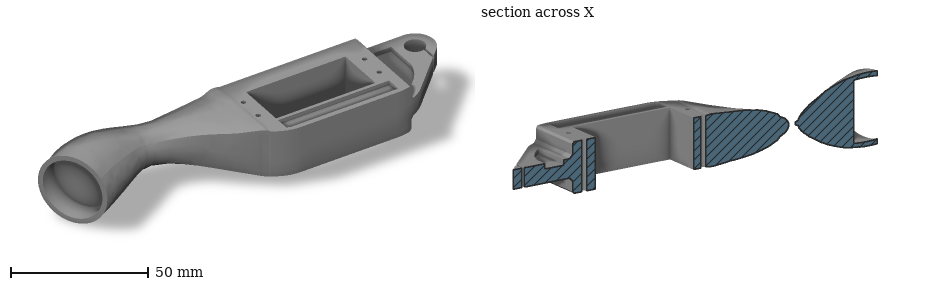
import cadquery as cq
import math


body_width = 38.0
body_height = 19.8
body_end_y = 59.6
joint_width = 34.3
corner_radius = 18.5
body_edge_bevel = 0.8
tab_height = 7.5
tab_bevel = 1.2

eye_x = 8.0
eye_y = 79.5
eye_diameter = 8.2
slit_bottom_y = 80.8
slit_width = 1.0

window_left = 8.0
window_right = 28.4
window_bottom = 6.4
window_top = 49.4

screw_diameter = 2.0
screw_columns = (13.1, 23.2)
screw_rows = (2.0, 54.5)

pocket_depth = 2.0
side_pocket_left = 29.7
side_pocket_right = 36.0
side_pocket_top = 54.5
side_pocket_corner = 0.7
tab_pocket_left = 4.0
tab_pocket_right = 29.4
tab_pocket_flat_end = 17.8
tab_pocket_bottom = 63.5
tab_pocket_top = 71.7
tab_pocket_bow = (24.2, 68.9)

mouth_diameter = 28.5
mouth_tilt = math.radians(30)
mouth_center = (15.3, -73.2)
mouth_bore_diameter = 24.5
mouth_bore_depth = 8.9
mouth_corner_angle = math.radians(37)

neck_sections = (
    ((0.0, -6.7), (29.5, -6.7), 9.7, 9.0, 0.99),
    ((-0.3, -13.5), (24.9, -13.5), 9.2, 7.9, 0.95),
    ((-1.2, -23.5), (17.6, -23.5), 8.4, 6.2, 0.9),
    ((-3.4, -35.3), (13.0, -36.1), 7.9, 4.7, 0.8),
    ((-5.7, -47.0), (14.5, -42.8), 9.7, 5.9, 0.8),
    ((-6.2, -56.3), (18.5, -49.7), 12.1, 7.0, 0.8),
    ((-4.4, -65.8), (22.3, -56.5), 13.6, 8.0, 0.8),
    ((-0.8, -73.7), (25.4, -61.8), 14.1, 8.4, 0.8),
)


def plan_outline():
    """Outline of body and tab: a straight left side, the eye end and a rounded right side."""
    half = math.sqrt(0.5)
    arc_center_x = body_width - corner_radius
    eye_tangent = (eye_x + eye_x * half, eye_y + eye_x * half)
    slope_sum = sum(eye_tangent)
    corner_x = arc_center_x + corner_radius * half
    corner_y = slope_sum - corner_x
    upper_center_y = corner_y - corner_radius * half

    def upper_arc(degrees):
        angle = math.radians(degrees)
        return (arc_center_x + corner_radius * math.cos(angle),
                upper_center_y + corner_radius * math.sin(angle))

    joint_angle = math.acos((joint_width - arc_center_x) / corner_radius)
    lower_center_y = corner_radius * math.sin(joint_angle)
    lower_middle = (arc_center_x + corner_radius * math.cos(joint_angle / 2),
                    lower_center_y - corner_radius * math.sin(joint_angle / 2))
    return (
        cq.Workplane("XY")
        .moveTo(0, 0)
        .lineTo(0, eye_y)
        .threePointArc((eye_x - eye_x * math.sin(math.radians(22.5)),
                        eye_y + eye_x * math.cos(math.radians(22.5))), eye_tangent)
        .lineTo(*upper_arc(45))
        .threePointArc(upper_arc(22.5), upper_arc(0))
        .lineTo(body_width, lower_center_y)
        .threePointArc(lower_middle, (joint_width, 0))
        .close()
    )


def box_between(x_range, y_range, z_range):
    size = [high - low for low, high in (x_range, y_range, z_range)]
    return cq.Workplane("XY").box(*size, centered=False).translate((x_range[0], y_range[0], z_range[0]))


def body_and_tab():
    """Cut the side profile of thick body and thin tab out of the extruded plan outline."""
    plate = plan_outline().extrude(body_height / 2, both=True)
    half_body = body_height / 2
    half_tab = tab_height / 2
    upper_side = [
        (body_end_y - body_edge_bevel, half_body),
        (body_end_y, half_body - body_edge_bevel),
        (body_end_y, half_tab + tab_bevel),
        (body_end_y + tab_bevel, half_tab),
        (eye_y + body_width, half_tab),
    ]
    lower_side = [(y, -z) for y, z in reversed(upper_side)]
    profile = [(0, half_body)] + upper_side + lower_side + [(0, -half_body)]
    return plate.intersect(cq.Workplane("YZ").polyline(profile).close().extrude(body_width))


def neck_section(left, right, half_height, corner_height, spread):
    """Oval wire of four arcs standing on the plan line from left to right."""

    def point(across, z):
        share = (1 + across) / 2
        return cq.Vector(left[0] + share * (right[0] - left[0]),
                         left[1] + share * (right[1] - left[1]), z)

    corners = [point(-spread, -corner_height), point(spread, -corner_height),
               point(spread, corner_height), point(-spread, corner_height)]
    middles = [point(0, -half_height), point(1, 0), point(0, half_height), point(-1, 0)]
    edges = [
        cq.Edge.makeThreePointArc(corners[i], middles[i], corners[(i + 1) % 4])
        for i in range(4)
    ]
    return cq.Wire.assembleEdges(edges)


def neck():
    """Loft from the rectangular joint through the narrow throat to the round mouth."""
    half = body_height / 2
    joint = cq.Wire.makePolygon(
        [cq.Vector(0, 0, -half), cq.Vector(joint_width, 0, -half),
         cq.Vector(joint_width, 0, half), cq.Vector(0, 0, half)],
        close=True,
    )
    radius = mouth_diameter / 2
    reach_x = radius * math.cos(mouth_tilt)
    reach_y = radius * math.sin(mouth_tilt)
    mouth = neck_section(
        (mouth_center[0] - reach_x, mouth_center[1] - reach_y),
        (mouth_center[0] + reach_x, mouth_center[1] + reach_y),
        radius, radius * math.sin(mouth_corner_angle), math.cos(mouth_corner_angle),
    )
    wires = [joint] + [neck_section(*section) for section in neck_sections] + [mouth]
    return cq.Workplane(cq.Solid.makeLoft(wires))


def mouth_bore():
    inward = cq.Vector(-math.sin(mouth_tilt), math.cos(mouth_tilt), 0)
    return cq.Workplane(cq.Solid.makeCylinder(
        mouth_bore_diameter / 2, mouth_bore_depth, cq.Vector(*mouth_center, 0), inward))


def through_holes():
    through = (-body_height, body_height)
    cutter = box_between((window_left, window_right), (window_bottom, window_top), through)
    slit = box_between((eye_x, body_width), (slit_bottom_y, slit_bottom_y + slit_width), through)
    eye = cq.Workplane("XY").center(eye_x, eye_y).circle(eye_diameter / 2).extrude(body_height, both=True)
    screws = (
        cq.Workplane("XY")
        .pushPoints([(x, y) for x in screw_columns for y in screw_rows])
        .circle(screw_diameter / 2)
        .extrude(body_height, both=True)
    )
    return cutter.union(slit.union(eye)).union(screws)


def side_pocket():
    return (
        cq.Workplane("XY", origin=(0, 0, body_height / 2))
        .moveTo(side_pocket_left, window_bottom)
        .lineTo(side_pocket_right - side_pocket_corner, window_bottom)
        .lineTo(side_pocket_right, window_bottom + 2 * side_pocket_corner)
        .lineTo(side_pocket_right, side_pocket_top)
        .lineTo(side_pocket_left, side_pocket_top)
        .close()
        .extrude(-pocket_depth)
    )


def tab_pocket():
    return (
        cq.Workplane("XY", origin=(0, 0, tab_height / 2))
        .moveTo(tab_pocket_left, tab_pocket_bottom)
        .lineTo(tab_pocket_left, tab_pocket_top)
        .lineTo(tab_pocket_flat_end, tab_pocket_top)
        .threePointArc(tab_pocket_bow, (tab_pocket_right, tab_pocket_bottom))
        .close()
        .extrude(-pocket_depth)
    )


solid_part = body_and_tab().union(neck())
for cutter in (through_holes(), side_pocket(), tab_pocket(), mouth_bore()):
    solid_part = solid_part.cut(cutter)
result = solid_part